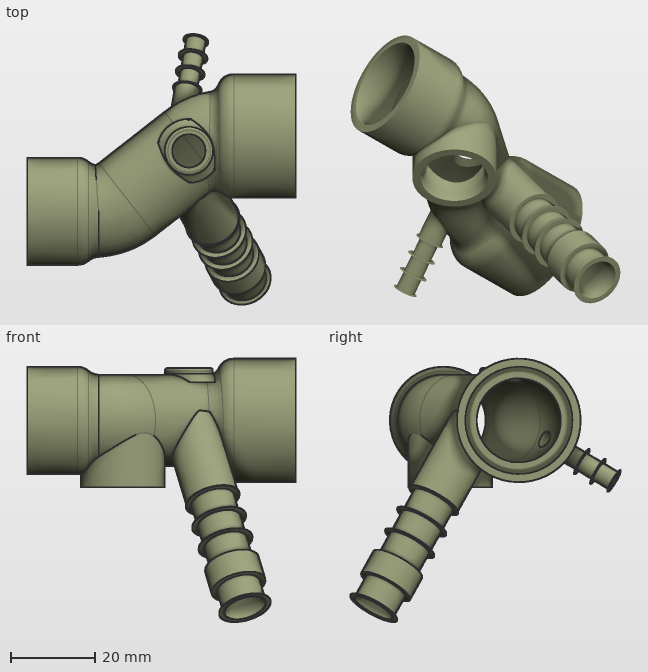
import cadquery as cq
import math

TOTAL_LENGTH = 64.0

PIPE_OUTER_D = 21.8
PIPE_BORE_D = 20.0
AXIS_OFFSET_Y = -17.95
BEND_START_X = 15.5
BEND_END_X = 47.75
BEND_ANGLE = math.radians(38)

SMALL_OUTER_D = 25.6
SMALL_BORE_D = 21.8
SMALL_SOCKET_LENGTH = 12.0
SMALL_SOCKET_DEPTH = 10.3
SMALL_SHOULDER_END_X = 17.1
LARGE_OUTER_D = 29.5
LARGE_BORE_D = 25.55
LARGE_SOCKET_START_X = 49.2
LARGE_SOCKET_BLEND_R = 2.6
JOINT_ZONE_LENGTH = 3.9

LOWER_PORT_X = 22.8
LOWER_PORT_Y = -16.4
LOWER_PORT_OUTER_D = 20.0
LOWER_PORT_BORE_D = 16.0
LOWER_PORT_FACE_Z = -15.95

UPPER_PORT_X = 38.5
UPPER_PORT_Y = -3.55
UPPER_PORT_OUTER_D = 11.5
UPPER_PORT_BORE_D = 7.95
UPPER_PORT_FACE_Z = 12.5
UPPER_PORT_ROUND = 0.7
UPPER_PORT_BASE_D = 15.2
UPPER_PORT_BASE_Z = 9.05
UPPER_PORT_NECK_Z = 11.1

LARGE_NOZZLE_TIP = (51.9, -34.6, -44.65)
LARGE_NOZZLE_AXIS = (12.0, -22.3, -40.0)
SMALL_NOZZLE_TIP = (40.2, 22.7, -14.45)
SMALL_NOZZLE_AXIS = (1.5, 8.5, -5.1)
LARGE_NOZZLE_BORE_D = 10.0
LARGE_NOZZLE_TIP_D = 12.7
LARGE_NOZZLE_RIDGE_D = 13.3
LARGE_NOZZLE_PITCH = 6.05
LARGE_NOZZLE_LENGTH = 51.6
SMALL_NOZZLE_BORE_D = 4.2
SMALL_NOZZLE_TIP_D = 6.0
SMALL_NOZZLE_RIDGE_D = 7.0
SMALL_NOZZLE_PITCH = 4.5
SMALL_NOZZLE_LENGTH = 24.5
LARGE_NOZZLE_RIDGES = 5
SMALL_NOZZLE_RIDGES = 3
RIDGE_THICKNESS = 0.1
NOZZLE_WALL = 0.25


def x_cylinder(diameter, start_x, end_x, y):
    """Cylinder along X."""
    plane = cq.Plane(origin=(start_x, y, 0), xDir=(0, 1, 0), normal=(1, 0, 0))
    return cq.Workplane(plane).circle(diameter / 2).extrude(end_x - start_x)


def z_cylinder(diameter, x, y, start_z, end_z):
    """Cylinder along Z."""
    return cq.Workplane(origin=(x, y, start_z)).circle(diameter / 2).extrude(end_z - start_z)


def pipe_path():
    """S-shaped centre line: two equal arcs joined by a straight run, tangent throughout."""
    span_x = BEND_END_X - BEND_START_X
    span_y = -AXIS_OFFSET_Y
    sin_a = math.sin(BEND_ANGLE)
    cos_a = math.cos(BEND_ANGLE)
    radius = (span_x * sin_a - span_y * cos_a) / (2 * (1 - cos_a))
    half = BEND_ANGLE / 2
    mid_x = radius * math.sin(half)
    mid_y = radius * (1 - math.cos(half))
    arc_x = radius * sin_a
    arc_y = radius * (1 - cos_a)
    return (
        cq.Workplane("XY")
        .moveTo(BEND_START_X, AXIS_OFFSET_Y)
        .threePointArc(
            (BEND_START_X + mid_x, AXIS_OFFSET_Y + mid_y),
            (BEND_START_X + arc_x, AXIS_OFFSET_Y + arc_y),
        )
        .lineTo(BEND_END_X - arc_x, -arc_y)
        .threePointArc((BEND_END_X - mid_x, -mid_y), (BEND_END_X, 0))
    )


def swept_pipe(diameter):
    """Round bar following the main centre line."""
    start = cq.Plane(origin=(BEND_START_X, AXIS_OFFSET_Y, 0), xDir=(0, 1, 0), normal=(1, 0, 0))
    return cq.Workplane(start).circle(diameter / 2).sweep(pipe_path())


def small_socket():
    """Socket whose shoulder eases down to the pipe through two opposite arcs."""
    socket_r = SMALL_OUTER_D / 2
    pipe_r = PIPE_OUTER_D / 2
    middle = ((SMALL_SOCKET_LENGTH + SMALL_SHOULDER_END_X) / 2, (socket_r + pipe_r) / 2)
    profile = (
        cq.Workplane("XY")
        .lineTo(0, socket_r)
        .lineTo(SMALL_SOCKET_LENGTH, socket_r)
        .tangentArcPoint(middle, relative=False)
        .tangentArcPoint((SMALL_SHOULDER_END_X, pipe_r), relative=False)
        .lineTo(SMALL_SHOULDER_END_X, 0)
        .close()
    )
    return profile.revolve(360, (0, 0, 0), (1, 0, 0)).translate((0, AXIS_OFFSET_Y, 0))


def large_socket():
    """Socket with a quarter-round shoulder."""
    socket_r = LARGE_OUTER_D / 2
    shoulder_r = (LARGE_OUTER_D - PIPE_OUTER_D) / 2
    return (
        cq.Workplane("XY")
        .moveTo(LARGE_SOCKET_START_X - shoulder_r, 0)
        .lineTo(LARGE_SOCKET_START_X - shoulder_r, socket_r - shoulder_r)
        .radiusArc((LARGE_SOCKET_START_X, socket_r), shoulder_r)
        .lineTo(TOTAL_LENGTH, socket_r)
        .lineTo(TOTAL_LENGTH, 0)
        .close()
        .revolve(360, (shoulder_r - LARGE_SOCKET_START_X, 0, 0), (0, 0, 0))
    )


def pipe_with_large_socket():
    """Main pipe joined to the large socket with a rolled blend around the joint."""
    joined = swept_pipe(PIPE_OUTER_D).union(large_socket())
    reach = LARGE_OUTER_D
    joint = cq.selectors.BoxSelector(
        (BEND_END_X - JOINT_ZONE_LENGTH, -reach, -reach),
        (BEND_END_X, reach, reach),
        boundingbox=True,
    )
    return joined.edges(joint).fillet(LARGE_SOCKET_BLEND_R)


def upper_port():
    """Rounded collar on a flared base."""
    collar = z_cylinder(
        UPPER_PORT_OUTER_D, UPPER_PORT_X, UPPER_PORT_Y, 0, UPPER_PORT_FACE_Z
    ).faces(">Z").edges().fillet(UPPER_PORT_ROUND)
    base = (
        cq.Workplane(origin=(UPPER_PORT_X, UPPER_PORT_Y, UPPER_PORT_BASE_Z))
        .circle(UPPER_PORT_BASE_D / 2)
        .workplane(offset=UPPER_PORT_NECK_Z - UPPER_PORT_BASE_Z)
        .circle(UPPER_PORT_OUTER_D / 2)
        .loft()
    )
    return collar.union(base)


def nozzle_rod(tip, axis, diameter, near, far):
    """Rod on a nozzle axis between two distances measured back from the tip."""
    direction = cq.Vector(*axis).normalized()
    origin = cq.Vector(*tip) - direction * far
    return cq.Workplane(cq.Plane(origin=origin, normal=direction)).circle(diameter / 2).extrude(far - near)


def nozzle(tip, axis, bore_d, root_d, tip_d, ridge_d, pitch, ridges, length):
    """Solid nozzle: thick root, thin stem, evenly pitched ridges and a tip flange."""
    root_start = ridges * pitch
    body = nozzle_rod(tip, axis, root_d, root_start, length)
    body = body.union(nozzle_rod(tip, axis, bore_d + 2 * NOZZLE_WALL, 0, length))
    body = body.union(nozzle_rod(tip, axis, tip_d, 0, RIDGE_THICKNESS))
    for index in range(1, ridges + 1):
        near = index * pitch
        body = body.union(nozzle_rod(tip, axis, ridge_d, near, near + RIDGE_THICKNESS))
    return body


large_nozzle = nozzle(
    LARGE_NOZZLE_TIP, LARGE_NOZZLE_AXIS, LARGE_NOZZLE_BORE_D, LARGE_NOZZLE_TIP_D,
    LARGE_NOZZLE_TIP_D, LARGE_NOZZLE_RIDGE_D, LARGE_NOZZLE_PITCH, LARGE_NOZZLE_RIDGES,
    LARGE_NOZZLE_LENGTH,
)
nozzle_band = nozzle_rod(
    LARGE_NOZZLE_TIP, LARGE_NOZZLE_AXIS, LARGE_NOZZLE_RIDGE_D,
    LARGE_NOZZLE_PITCH, 2 * LARGE_NOZZLE_PITCH,
)
small_nozzle = nozzle(
    SMALL_NOZZLE_TIP, SMALL_NOZZLE_AXIS, SMALL_NOZZLE_BORE_D, SMALL_NOZZLE_TIP_D,
    SMALL_NOZZLE_TIP_D, SMALL_NOZZLE_RIDGE_D, SMALL_NOZZLE_PITCH, SMALL_NOZZLE_RIDGES,
    SMALL_NOZZLE_LENGTH,
)

outside = (
    pipe_with_large_socket()
    .union(small_socket())
    .union(z_cylinder(LOWER_PORT_OUTER_D, LOWER_PORT_X, LOWER_PORT_Y, LOWER_PORT_FACE_Z, 0))
    .union(upper_port())
    .union(large_nozzle)
    .union(nozzle_band)
    .union(small_nozzle)
)

result = (
    outside
    .cut(swept_pipe(PIPE_BORE_D))
    .cut(x_cylinder(PIPE_BORE_D, 0, BEND_START_X, AXIS_OFFSET_Y))
    .cut(x_cylinder(SMALL_BORE_D, 0, SMALL_SOCKET_DEPTH, AXIS_OFFSET_Y))
    .cut(x_cylinder(PIPE_BORE_D, BEND_END_X, TOTAL_LENGTH, 0))
    .cut(x_cylinder(LARGE_BORE_D, LARGE_SOCKET_START_X, TOTAL_LENGTH, 0))
    .cut(z_cylinder(LOWER_PORT_BORE_D, LOWER_PORT_X, LOWER_PORT_Y, LOWER_PORT_FACE_Z, 0))
    .cut(z_cylinder(UPPER_PORT_BORE_D, UPPER_PORT_X, UPPER_PORT_Y, 0, UPPER_PORT_FACE_Z))
    .cut(nozzle_rod(LARGE_NOZZLE_TIP, LARGE_NOZZLE_AXIS, LARGE_NOZZLE_BORE_D, 0, LARGE_NOZZLE_LENGTH))
    .cut(nozzle_rod(SMALL_NOZZLE_TIP, SMALL_NOZZLE_AXIS, SMALL_NOZZLE_BORE_D, 0, SMALL_NOZZLE_LENGTH))
)